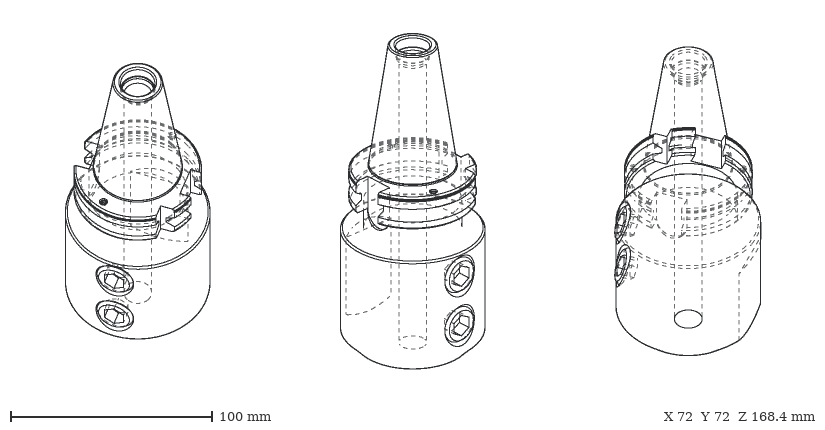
import cadquery as cq
import math


FULL_TURN = 360
HEX_SIDES = 6
ORIGIN = (0, 0, 0)

TAPER_LENGTH = 68.4
GAUGE_RADIUS = 44.45 / 2
TAPER_SLOPE = 7 / 24 / 2
TIP_CHAMFER = 0.7
TAPER_END = 1.4
UNDERCUT_HEIGHT = 0.8
UNDERCUT_RADIUS = 21.6
COLLAR_TOP = 0.4
COLLAR_FILLET = 0.5

FLANGE_RADIUS = 63.55 / 2
FLANGE_TOP = -1.0
FLANGE_BOTTOM = -19.1
FLANGE_CHAMFER = 1.0
RING_GROOVE_TOP = -2.6
RING_GROOVE_BOTTOM = -3.3
RING_GROOVE_DEPTH = 0.2
GROOVE_MIDDLE = -11.1
GROOVE_FLOOR_RADIUS = 56.25 / 2
GROOVE_FLOOR_WIDTH = 3.0
GROOVE_WALL_ANGLE = 30
GROOVE_FILLET = 0.5
GROOVE_EDGE_HALF_WIDTH = GROOVE_FLOOR_WIDTH / 2 + (FLANGE_RADIUS - GROOVE_FLOOR_RADIUS) * math.tan(
    math.radians(GROOVE_WALL_ANGLE)
)

NECK_RADIUS = 48.8 / 2
NECK_FILLET = 0.5
BODY_RADIUS = 72 / 2
BODY_TOP = -35.0
BODY_BOTTOM = -100.0
BODY_TOP_CHAMFER = 1.0
NOSE_RADIUS = 28.0
NOSE_CHAMFER = BODY_RADIUS - NOSE_RADIUS
NOSE_BLEND_RADIUS = 1.7

EDGE_SEARCH_MARGIN = 0.2

FLAT_Y = 32.7
FLAT_TOP = -45.0

BORE_RADIUS = 13.8 / 2
PILOT_RADIUS = 17 / 2
PILOT_DEPTH = 6.0
PILOT_CHAMFER = 0.9
STEP_RADIUS = 8.1
STEP_LENGTH = 1.6
SEAT_LENGTH = 2.1

SLOT_WIDTH = 16.1
DEEP_SLOT_X = -22.8
SHALLOW_SLOT_X = 25.0
NOTCH_X = 18.5
NOTCH_Y = -18.5

SCREW_HEIGHTS = (-48.0, -76.0)
SCREW_RADIUS = 19 / 2
SCREW_FACE_RADIUS = 16.3 / 2
SCREW_HOLE_MOUTH_RADIUS = 22.6 / 2
SCREW_MOUTH_DEPTH = SCREW_HOLE_MOUTH_RADIUS - SCREW_RADIUS
SCREW_HEX_WIDTH = 10.0
SCREW_HEX_DEPTH = 7.0

PLUG_CIRCLE_RADIUS = 27.0
PLUG_ANGLES = (70, 250)
PLUG_RADIUS = 2.0
PLUG_FACE_RADIUS = 1.5
PLUG_RECESS = 0.5
PLUG_HEX_WIDTH = 2.0
PLUG_HEX_DEPTH = 1.5


def hex_diameter(width_across_flats):
    return width_across_flats / math.cos(math.pi / HEX_SIDES)


def box_between(x_min, x_max, y_min, y_max, z_min, z_max):
    size = (x_max - x_min, y_max - y_min, z_max - z_min)
    return cq.Workplane().box(*size, centered=False).translate((x_min, y_min, z_min))


def taper_radius(height):
    return GAUGE_RADIUS - TAPER_SLOPE * height


def round_edge(holder, edge_radius, height, fillet_radius):
    """Round the circular edge of the given radius that lies at the given height."""
    reach = edge_radius + EDGE_SEARCH_MARGIN
    search_box = cq.selectors.BoxSelector(
        (-reach, -reach, height - EDGE_SEARCH_MARGIN),
        (reach, reach, height + EDGE_SEARCH_MARGIN),
        boundingbox=True,
    )
    return holder.edges(search_box).fillet(fillet_radius)


def turned_holder():
    chamfer_end = TAPER_LENGTH - TIP_CHAMFER
    outline = (
        cq.Workplane("XZ")
        .moveTo(0, TAPER_LENGTH)
        .lineTo(taper_radius(TAPER_LENGTH) - TIP_CHAMFER, TAPER_LENGTH)
        .lineTo(taper_radius(chamfer_end), chamfer_end)
        .lineTo(taper_radius(TAPER_END), TAPER_END)
        .lineTo(UNDERCUT_RADIUS, UNDERCUT_HEIGHT)
        .lineTo(GAUGE_RADIUS, COLLAR_TOP)
        .lineTo(GAUGE_RADIUS, FLANGE_TOP + COLLAR_FILLET)
        .radiusArc((GAUGE_RADIUS + COLLAR_FILLET, FLANGE_TOP), -COLLAR_FILLET)
        .lineTo(FLANGE_RADIUS - FLANGE_CHAMFER, FLANGE_TOP)
        .lineTo(FLANGE_RADIUS, FLANGE_TOP - FLANGE_CHAMFER)
        .lineTo(FLANGE_RADIUS, GROOVE_MIDDLE + GROOVE_EDGE_HALF_WIDTH)
        .lineTo(GROOVE_FLOOR_RADIUS, GROOVE_MIDDLE + GROOVE_FLOOR_WIDTH / 2)
        .lineTo(GROOVE_FLOOR_RADIUS, GROOVE_MIDDLE - GROOVE_FLOOR_WIDTH / 2)
        .lineTo(FLANGE_RADIUS, GROOVE_MIDDLE - GROOVE_EDGE_HALF_WIDTH)
        .lineTo(FLANGE_RADIUS, FLANGE_BOTTOM + FLANGE_CHAMFER)
        .lineTo(FLANGE_RADIUS - FLANGE_CHAMFER, FLANGE_BOTTOM)
        .lineTo(NECK_RADIUS, FLANGE_BOTTOM)
        .lineTo(NECK_RADIUS, BODY_TOP)
        .lineTo(BODY_RADIUS - BODY_TOP_CHAMFER, BODY_TOP)
        .lineTo(BODY_RADIUS, BODY_TOP - BODY_TOP_CHAMFER)
        .lineTo(BODY_RADIUS, BODY_BOTTOM + NOSE_CHAMFER)
        .lineTo(NOSE_RADIUS, BODY_BOTTOM)
        .lineTo(0, BODY_BOTTOM)
        .close()
    )
    holder = outline.revolve(FULL_TURN, ORIGIN, (0, 1, 0))
    groove_half_floor = GROOVE_FLOOR_WIDTH / 2
    holder = round_edge(holder, GROOVE_FLOOR_RADIUS, GROOVE_MIDDLE + groove_half_floor, GROOVE_FILLET)
    holder = round_edge(holder, GROOVE_FLOOR_RADIUS, GROOVE_MIDDLE - groove_half_floor, GROOVE_FILLET)
    holder = round_edge(holder, NECK_RADIUS, BODY_TOP, NECK_FILLET)
    holder = round_edge(holder, BODY_RADIUS, BODY_BOTTOM + NOSE_CHAMFER, NOSE_BLEND_RADIUS)
    holder = round_edge(holder, NOSE_RADIUS, BODY_BOTTOM, NOSE_BLEND_RADIUS)
    return holder.cut(ring_groove())


def ring_groove():
    """Fine groove around the flange just below its top chamfer."""
    height = RING_GROOVE_TOP - RING_GROOVE_BOTTOM
    return (
        cq.Workplane("XY", origin=(0, 0, RING_GROOVE_BOTTOM))
        .circle(FLANGE_RADIUS)
        .circle(FLANGE_RADIUS - RING_GROOVE_DEPTH)
        .extrude(height)
    )


def axial_bore():
    pilot_floor = TAPER_LENGTH - PILOT_DEPTH
    seat_top = pilot_floor - STEP_LENGTH
    outline = (
        cq.Workplane("XZ")
        .moveTo(0, TAPER_LENGTH)
        .lineTo(PILOT_RADIUS + PILOT_CHAMFER, TAPER_LENGTH)
        .lineTo(PILOT_RADIUS, TAPER_LENGTH - PILOT_CHAMFER)
        .lineTo(PILOT_RADIUS, pilot_floor)
        .lineTo(STEP_RADIUS, pilot_floor)
        .lineTo(STEP_RADIUS, seat_top)
        .lineTo(BORE_RADIUS, seat_top - SEAT_LENGTH)
        .lineTo(BORE_RADIUS, BODY_BOTTOM)
        .lineTo(0, BODY_BOTTOM)
        .close()
    )
    return outline.revolve(FULL_TURN, ORIGIN, (0, 1, 0))


def deep_slot():
    """Slot on the -X side, ending in a half round just below the flange."""
    half_width = SLOT_WIDTH / 2
    length = BODY_RADIUS + DEEP_SLOT_X
    straight = box_between(-BODY_RADIUS, DEEP_SLOT_X, -half_width, half_width, FLANGE_BOTTOM, FLANGE_TOP)
    round_end = (
        cq.Workplane("YZ", origin=(-BODY_RADIUS, 0, FLANGE_BOTTOM))
        .circle(half_width)
        .extrude(length)
    )
    return straight.union(round_end)


def shallow_slot():
    half_width = SLOT_WIDTH / 2
    return box_between(SHALLOW_SLOT_X, BODY_RADIUS, -half_width, half_width, FLANGE_BOTTOM, FLANGE_TOP)


def corner_notch():
    return box_between(NOTCH_X, BODY_RADIUS, -BODY_RADIUS, NOTCH_Y, FLANGE_BOTTOM, FLANGE_TOP)


def body_flat():
    """Flat that runs out at 45 degrees below the top of the body."""
    flat_depth = BODY_RADIUS - FLAT_Y
    outline = (
        cq.Workplane("YZ")
        .moveTo(BODY_RADIUS, FLAT_TOP)
        .lineTo(FLAT_Y, FLAT_TOP - flat_depth)
        .lineTo(FLAT_Y, BODY_BOTTOM)
        .lineTo(BODY_RADIUS, BODY_BOTTOM)
        .close()
    )
    return outline.extrude(BODY_RADIUS, both=True)


def clamping_screw_gap(height):
    """Countersunk mouth around a clamping screw, together with the hex socket in the screw."""
    mouth = (
        cq.Workplane("XY")
        .moveTo(SCREW_FACE_RADIUS, BODY_RADIUS)
        .lineTo(SCREW_HOLE_MOUTH_RADIUS, BODY_RADIUS)
        .lineTo(SCREW_RADIUS, BODY_RADIUS - SCREW_MOUTH_DEPTH)
        .close()
        .revolve(FULL_TURN, ORIGIN, (0, 1, 0))
        .rotate(ORIGIN, (0, 0, 1), FULL_TURN / 2)
        .translate((0, 0, height))
    )
    socket = (
        cq.Workplane("XZ", origin=(0, -BODY_RADIUS, height))
        .transformed(rotate=(0, 0, FULL_TURN / 4))
        .polygon(HEX_SIDES, hex_diameter(SCREW_HEX_WIDTH))
        .extrude(-SCREW_HEX_DEPTH)
    )
    return mouth.union(socket)


def clamping_screw_face(height):
    """Chamfered screw end whose flat face touches the body cylinder at its outermost line."""
    return (
        cq.Workplane("XZ", origin=(0, -BODY_RADIUS, height))
        .circle(SCREW_FACE_RADIUS)
        .workplane(offset=-SCREW_MOUTH_DEPTH)
        .circle(SCREW_RADIUS)
        .loft()
    )


def sealing_screw_recess(angle):
    x = PLUG_CIRCLE_RADIUS * math.cos(math.radians(angle))
    y = PLUG_CIRCLE_RADIUS * math.sin(math.radians(angle))
    top = cq.Workplane("XY", origin=(x, y, FLANGE_TOP))
    mouth = top.circle(PLUG_RADIUS).workplane(offset=-PLUG_RECESS).circle(PLUG_FACE_RADIUS).loft()
    socket = top.polygon(HEX_SIDES, hex_diameter(PLUG_HEX_WIDTH)).extrude(-PLUG_RECESS - PLUG_HEX_DEPTH)
    return mouth.union(socket)


result = turned_holder()
result = result.cut(axial_bore())
result = result.cut(deep_slot()).cut(shallow_slot()).cut(corner_notch())
result = result.cut(body_flat())
for screw_height in SCREW_HEIGHTS:
    result = result.union(clamping_screw_face(screw_height))
    result = result.cut(clamping_screw_gap(screw_height))
for plug_angle in PLUG_ANGLES:
    result = result.cut(sealing_screw_recess(plug_angle))